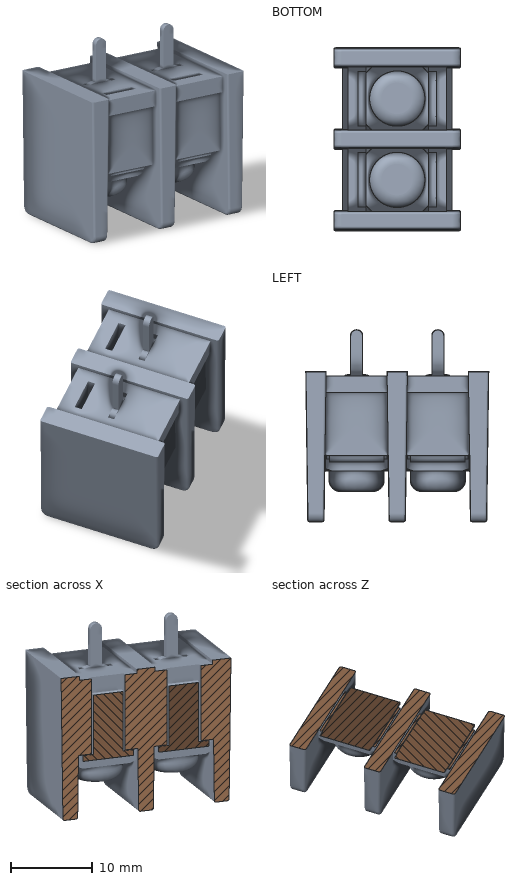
import cadquery as cq
import math

overall_width = 15.6
overall_depth = 22.5
overall_height = 23.6

barrier_top_thickness = 2.5
barrier_foot_thickness = 2.0
barrier_height = 18.45
barrier_corner_radius = 1.0
barrier_edge_radius = 0.25
pitch = (overall_depth - barrier_top_thickness) / 2
barrier_positions = (-pitch, 0, pitch)
pole_positions = (-pitch / 2, pitch / 2)

block_top = 17.94
block_bottom = 8.17
block_width = 12.13
lip_width = 13.48
lip_bottom = 15.9
seat_bottom = 7.72
seat_depth = pitch - barrier_top_thickness

sheet = 0.8
tab_outer_face = 4.7
plate_overhang = 0.12
plate_width = 2 * (tab_outer_face + plate_overhang)
plate_depth = 6.7
plate_bottom = 7.35
plate_top = plate_bottom + sheet
plate_edge_radius = 0.78
blade_depth = 3.96
shoulder_height = 18.08
shoulder_radius = blade_depth / 4
pin_depth = 1.5
tab_depth = blade_depth
tab_height = lip_bottom
tab_tip_radius = 0.78

slot_depth = 4.4

washer_side = 7.75
washer_bottom = 6.25
washer_chamfer_radius = 4.95
washer_chamfer_angle = 30.0
head_diameter = 6.8
head_bottom = 3.7
head_edge_radius = 1.46


def box(x_range, depth, z_range, y_center=0.0):
    """Box between two X values and two Z values, centred on y_center."""
    width = x_range[1] - x_range[0]
    height = z_range[1] - z_range[0]
    corner = (x_range[0], y_center - depth / 2, z_range[0])
    return cq.Workplane("XY").box(width, depth, height, centered=False).translate(corner)


def centered_box(width, depth, z_range, y_center=0.0):
    """Box symmetrical about X = 0."""
    return box((-width / 2, width / 2), depth, z_range, y_center)


def make_barrier(y_center):
    """Wall that thins toward its foot, rounded everywhere but along its top."""
    half_top = barrier_top_thickness / 2
    half_foot = barrier_foot_thickness / 2
    wall = (
        cq.Workplane("YZ")
        .polyline([
            (-half_foot, 0),
            (half_foot, 0),
            (half_top, barrier_height),
            (-half_top, barrier_height),
        ])
        .close()
        .extrude(overall_width / 2, both=True)
    )
    wall = wall.faces("<Z").edges("|Y").fillet(barrier_corner_radius)
    side_edges = wall.faces("<Y or >Y").edges("not(>Z)")
    return side_edges.fillet(barrier_edge_radius).translate((0, y_center, 0))


def make_slots(y_center):
    """Openings for the blade and the tab, from the top of the block to the plate."""
    z_range = (plate_bottom, block_top)
    blade_slot = centered_box(sheet, slot_depth, z_range, y_center)
    tab_x_range = (tab_outer_face - sheet, plate_width / 2)
    return blade_slot.union(box(tab_x_range, slot_depth, z_range, y_center))


def make_housing():
    """Barriers joined by the lipped block, with a washer seat and slots at each pole."""
    block_depth = 2 * pitch
    housing = centered_box(block_width, block_depth, (block_bottom, block_top))
    housing = housing.union(centered_box(lip_width, block_depth, (lip_bottom, block_top)))
    for y in pole_positions:
        housing = housing.union(centered_box(washer_side, seat_depth, (seat_bottom, block_bottom), y))
        housing = housing.cut(centered_box(plate_width, plate_depth, (plate_bottom, plate_top), y))
        housing = housing.cut(make_slots(y))
    for y in barrier_positions:
        housing = housing.union(make_barrier(y))
    return housing


def make_strap():
    """Plate with a rounded lower edge, shouldered blade ending in a pin, and a tab."""
    plate = centered_box(plate_width, plate_depth, (plate_bottom, plate_top))
    plate = plate.faces("<X").edges("<Z").fillet(plate_edge_radius)
    blade = centered_box(sheet, blade_depth, (plate_bottom, shoulder_height))
    blade = blade.faces(">Z").edges("|X").fillet(shoulder_radius)
    tip_radius = pin_depth / 2
    tip_center = overall_height - tip_radius
    pin = centered_box(sheet, pin_depth, (plate_top, tip_center))
    tip = (
        cq.Workplane("YZ")
        .workplane(offset=-sheet / 2)
        .center(0, tip_center)
        .circle(tip_radius)
        .extrude(sheet)
    )
    tab = box((tab_outer_face - sheet, tab_outer_face), tab_depth, (plate_bottom, tab_height))
    tab = tab.faces(">Z").edges(">X").fillet(tab_tip_radius)
    return plate.union(blade).union(pin).union(tip).union(tab)


def make_screw():
    """Square washer with a conical chamfer below, on a round-edged screw head."""
    washer = centered_box(washer_side, washer_side, (washer_bottom, seat_bottom))
    washer_thickness = seat_bottom - washer_bottom
    cone_spread = washer_thickness / math.tan(math.radians(washer_chamfer_angle))
    cone = cq.Workplane(cq.Solid.makeCone(
        washer_chamfer_radius,
        washer_chamfer_radius + cone_spread,
        washer_thickness,
        pnt=cq.Vector(0, 0, washer_bottom),
    ))
    head = (
        cq.Workplane("XY")
        .workplane(offset=head_bottom)
        .circle(head_diameter / 2)
        .extrude(washer_bottom - head_bottom)
        .faces("<Z")
        .edges()
        .fillet(head_edge_radius)
    )
    return washer.intersect(cone).union(head)


def make_terminal(y_center):
    """Strap with its screw, as one body."""
    return make_strap().union(make_screw()).translate((0, y_center, 0))


housing = make_housing()
terminals = [make_terminal(y) for y in pole_positions]

result = cq.Compound.makeCompound([housing.val(), *[terminal.val() for terminal in terminals]])